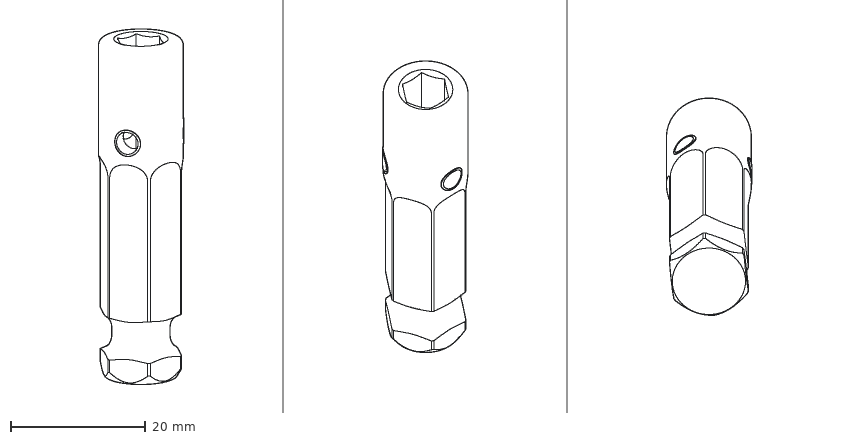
import cadquery as cq
import math

length = 52.0
body_radius = 6.35
top_fillet = 1.0

hex_flats = 11.2
hex_top = 31.6
runout_height = 2.55

groove_radius = 4.35
groove_bottom = 6.1
groove_top = 7.35
groove_arc = 2.7
foot_radius = 5.45
foot_angle = 60.0

socket_flats = 6.35
socket_depth = 23.4
socket_mouth_radius = 4.05
socket_mouth_angle = 60.0

hole_diameter = 3.4
rim_diameter = 4.05
rim_height = 0.1
hole_z = 37.55
hole_angles = (30, 150, 270)

flat_distance = hex_flats / 2


def round_body():
    """Cylinder with a rounded top edge and a conical foot."""
    foot_height = (body_radius - foot_radius) * math.tan(math.radians(foot_angle))
    body = cq.Workplane("XY").circle(body_radius).extrude(length)
    body = body.faces(">Z").edges().fillet(top_fillet)
    return body.faces("<Z").chamfer(foot_height, body_radius - foot_radius)


def flat_cutter():
    """Tool for the -Y shank flat, curving out tangentially to the body surface."""
    flat_depth = body_radius - flat_distance
    runout_radius = (runout_height**2 + flat_depth**2) / (2 * flat_depth)
    clearance = 0.5
    outer = body_radius + clearance
    rise = math.sqrt(runout_radius**2 - (runout_radius - flat_depth - clearance) ** 2)
    half_rise = math.sqrt(runout_radius**2 - (runout_radius - flat_depth / 2) ** 2)
    return (
        cq.Workplane("YZ")
        .moveTo(-outer, -clearance)
        .lineTo(-flat_distance, -clearance)
        .lineTo(-flat_distance, hex_top)
        .threePointArc(
            (-flat_distance - flat_depth / 2, hex_top + half_rise),
            (-outer, hex_top + rise),
        )
        .close()
        .extrude(body_radius, both=True)
    )


def groove_cutter():
    """Ring with a cylindrical floor and concave quarter-round sides."""
    diagonal = groove_arc * math.sqrt(0.5)
    arc_center = groove_radius + groove_arc
    return (
        cq.Workplane("XZ")
        .moveTo(groove_radius, groove_bottom)
        .lineTo(groove_radius, groove_top)
        .threePointArc(
            (arc_center - diagonal, groove_top + diagonal),
            (arc_center, groove_top + groove_arc),
        )
        .lineTo(arc_center, groove_bottom - groove_arc)
        .threePointArc(
            (arc_center - diagonal, groove_bottom - diagonal),
            (groove_radius, groove_bottom),
        )
        .close()
        .revolve(360, (0, 0, 0), (0, 1, 0))
    )


def socket_cutter():
    """Blind hexagonal socket with a conical lead-in."""
    hex_corners = socket_flats / math.cos(math.radians(30))
    socket = (
        cq.Workplane("XY", origin=(0, 0, length))
        .polygon(6, hex_corners)
        .extrude(-socket_depth)
    )
    cone_height = socket_mouth_radius / math.tan(math.radians(socket_mouth_angle))
    lead_in = cq.Solid.makeCone(
        socket_mouth_radius, 0, cone_height, pnt=cq.Vector(0, 0, length), dir=cq.Vector(0, 0, -1)
    )
    return socket.union(cq.Workplane(lead_in))


def radial_pin(diameter, angle):
    """Cylinder from the axis outward past the body at the hole height."""
    reach = 2 * body_radius
    return (
        cq.Workplane("YZ", origin=(0, 0, hole_z))
        .circle(diameter / 2)
        .extrude(reach)
        .rotate((0, 0, 0), (0, 0, 1), angle)
    )


result = round_body()
for index in range(6):
    result = result.cut(flat_cutter().rotate((0, 0, 0), (0, 0, 1), 60 * index))
result = result.cut(groove_cutter())

rim_envelope = (
    cq.Workplane("XY", origin=(0, 0, hole_z - rim_diameter))
    .circle(body_radius + rim_height)
    .extrude(2 * rim_diameter)
)
for angle in hole_angles:
    result = result.union(radial_pin(rim_diameter, angle).intersect(rim_envelope))

result = result.cut(socket_cutter())
for angle in hole_angles:
    result = result.cut(radial_pin(hole_diameter, angle))